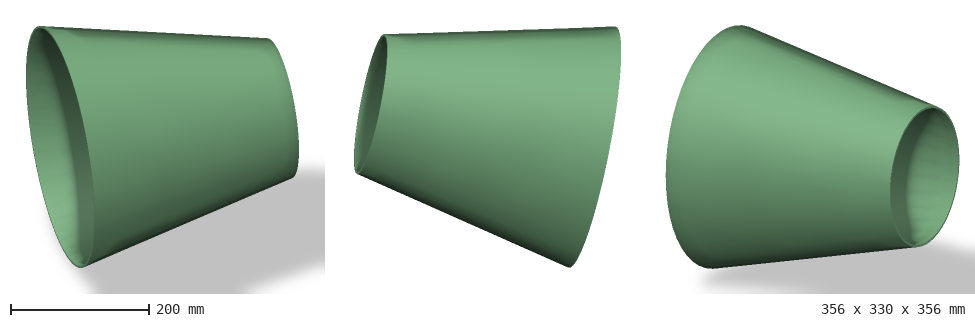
import cadquery as cq

length = 330.0
wide_diameter = 356.0
narrow_diameter = 206.0
radial_wall = 3.0

wide_radius = wide_diameter / 2
narrow_radius = narrow_diameter / 2
wide_end = -length / 2
narrow_end = length / 2

wall_section = (
    cq.Workplane("XY")
    .moveTo(wide_radius - radial_wall, wide_end)
    .lineTo(wide_radius, wide_end)
    .lineTo(narrow_radius, narrow_end)
    .lineTo(narrow_radius - radial_wall, narrow_end)
    .close()
)

result = wall_section.revolve(360, (0, 0, 0), (0, 1, 0))